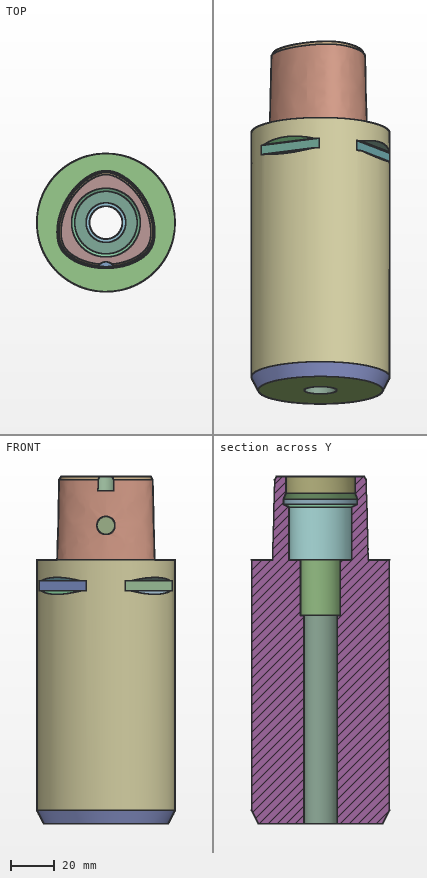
import cadquery as cq
import math

total_height = 158.0
body_diameter = 63.0
body_radius = body_diameter / 2
shank_height = 37.9
body_height = total_height - shank_height

foot_chamfer_height = 6.2
foot_chamfer_inset = 3.2

shank_radius = 22.3
lobe_height = 1.5
shank_taper = 1 / 40
rim_chamfer_height = 1.6
rim_chamfer_inset = 1.0
outline_points = 48

mouth_radius = 15.6
groove_radius = 16.7
groove_top_depth = 7.6
groove_wall_depth = 10.3
groove_cone_depth = 12.6
socket_radius = 14.2
socket_cone_depth = 13.9
socket_depth = 37.9
step_radius = 9.0
step_depth = 63.2
through_radius = 7.5

notch_radius = 4.3
notch_back = 17.9
notch_depth = 6.5

cross_hole_radius = 4.1
cross_hole_drop = 22.3
cross_hole_floor = 16.0

slot_count = 4
slot_z = total_height - 49.8
slot_floor_distance = 27.6
slot_floor_height = 4.5
slot_mouth_height = 7.7
slot_wall_depth = 1.1
slot_wall_distance = slot_floor_distance + slot_wall_depth


def shank_outline(mean_radius, z):
    """Constant-width three-lobed outline, with one lobe toward +Y."""
    def point(t):
        angle = 2 * math.pi * t
        phase = 3 * (angle - math.pi / 2)
        support = mean_radius + lobe_height * math.cos(phase)
        slope = -3 * lobe_height * math.sin(phase)
        return (
            support * math.cos(angle) - slope * math.sin(angle),
            support * math.sin(angle) + slope * math.cos(angle),
        )

    points = [point(i / outline_points - 0.25) for i in range(outline_points)]
    edge = cq.Edge.makeSpline([cq.Vector(x, y, z) for x, y in points], periodic=True)
    return cq.Wire.assembleEdges([edge])


def make_body():
    profile = [
        (0, 0),
        (body_radius - foot_chamfer_inset, 0),
        (body_radius, foot_chamfer_height),
        (body_radius, body_height),
        (0, body_height),
    ]
    return cq.Workplane("XZ").polyline(profile).close().revolve(360, (0, 0), (0, 1))


def make_shank():
    rim_z = total_height - rim_chamfer_height
    rim_radius = shank_radius - (rim_z - body_height) * shank_taper
    base = shank_outline(shank_radius, body_height)
    rim = shank_outline(rim_radius, rim_z)
    top = shank_outline(rim_radius - rim_chamfer_inset, total_height)
    cone = cq.Solid.makeLoft([base, rim], True)
    chamfer = cq.Solid.makeLoft([rim, top], True)
    return cq.Workplane(cone).union(cq.Workplane(chamfer))


def make_bore():
    steps = [
        (0, 0),
        (mouth_radius, 0),
        (mouth_radius, groove_top_depth),
        (groove_radius, groove_wall_depth),
        (groove_radius, groove_cone_depth),
        (socket_radius, socket_cone_depth),
        (socket_radius, socket_depth),
        (step_radius, socket_depth),
        (step_radius, step_depth),
        (through_radius, step_depth),
        (through_radius, total_height),
        (0, total_height),
    ]
    profile = [(radius, total_height - depth) for radius, depth in steps]
    return cq.Workplane("XZ").polyline(profile).close().revolve(360, (0, 0), (0, 1))


def make_notch():
    return (
        cq.Workplane("XY", origin=(0, -notch_back - notch_radius, total_height))
        .circle(notch_radius)
        .extrude(-notch_depth)
    )


def make_cross_hole():
    return (
        cq.Workplane("XZ", origin=(0, -cross_hole_floor, total_height - cross_hole_drop))
        .circle(cross_hole_radius)
        .extrude(body_radius - cross_hole_floor)
    )


def make_gripper_slot(angle):
    section = [
        (slot_floor_distance, slot_z - slot_floor_height / 2),
        (slot_wall_distance, slot_z - slot_floor_height / 2),
        (body_radius, slot_z - slot_mouth_height / 2),
        (body_radius, slot_z + slot_mouth_height / 2),
        (slot_wall_distance, slot_z + slot_floor_height / 2),
        (slot_floor_distance, slot_z + slot_floor_height / 2),
    ]
    slot = cq.Workplane("XZ").polyline(section).close().extrude(body_radius, both=True)
    return slot.rotate((0, 0, 0), (0, 0, 1), angle)


result = make_body().union(make_shank())
result = result.cut(make_bore()).cut(make_notch()).cut(make_cross_hole())
for i in range(slot_count):
    result = result.cut(make_gripper_slot((i + 0.5) * 360 / slot_count))